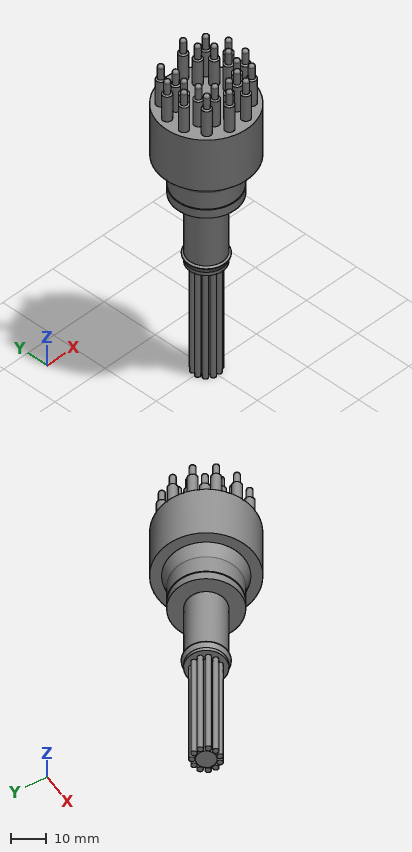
import cadquery as cq
import math

total_height = 112.4

tube_bottom = 39.6
collar_taper_start = 40.8
collar_lip_bottom = 42.5
collar_lip_top = 42.7
collar_top = 43.2
sleeve_bottom = 65.0
sleeve_groove = 68.1
sleeve_top = 74.4
head_bottom = 79.1
head_top = 98.0
pin_shoulder = 107.1
pin_tip_base = 107.5

head_diameter = 31.7
flare_diameter = 25.0
sleeve_diameter = 22.1
tube_diameter = 12.7
collar_diameter = 14.0

groove_width = 0.2
groove_depth = 0.1

pin_diameter = 3.1
pin_tip_diameter = 2.0
pin_tip_rounding = 0.9
inner_ring_radius = 8.9
outer_ring_radius = 12.7
pin_pitch = 30.0
inner_pin_count = 10
outer_pin_count = 11
inner_first_angle = 60.0
outer_first_angle = 75.0

wire_count = 11
wire_diameter = 1.8
wire_bundle_diameter = 9.9
wire_first_angle = 90.0
wire_embed = 1.1
core_diameter = 6.1


def ring_points(radius, count, first_angle, step):
    """Points on a circle, starting at first_angle and going clockwise."""
    points = []
    for index in range(count):
        angle = math.radians(first_angle - index * step)
        points.append((radius * math.cos(angle), radius * math.sin(angle)))
    return points


def make_body():
    """Tube, collar, sleeve, flare and head, turned about the Z axis."""
    tube_radius = tube_diameter / 2
    sleeve_radius = sleeve_diameter / 2
    flare_radius = flare_diameter / 2
    collar_radius = collar_diameter / 2
    head_radius = head_diameter / 2
    groove_radius = sleeve_radius - groove_depth
    profile = (
        cq.Workplane("XZ")
        .moveTo(0, tube_bottom)
        .lineTo(tube_radius, tube_bottom)
        .lineTo(tube_radius, collar_taper_start)
        .lineTo(collar_radius, collar_lip_bottom)
        .lineTo(collar_radius, collar_lip_top)
        .lineTo(tube_radius, collar_top)
        .lineTo(tube_radius, sleeve_bottom)
        .lineTo(sleeve_radius, sleeve_bottom)
        .lineTo(sleeve_radius, sleeve_groove - groove_width / 2)
        .lineTo(groove_radius, sleeve_groove - groove_width / 2)
        .lineTo(groove_radius, sleeve_groove + groove_width / 2)
        .lineTo(sleeve_radius, sleeve_groove + groove_width / 2)
        .lineTo(sleeve_radius, sleeve_top)
        .lineTo(flare_radius, head_bottom)
        .lineTo(head_radius, head_bottom)
        .lineTo(head_radius, head_top)
        .lineTo(0, head_top)
        .close()
    )
    return profile.revolve(360, (0, 0, 0), (0, 1, 0))


def make_pin():
    """One contact pin: thick shank, sloped shoulder and slim tip with a rounded end."""
    shank_radius = pin_diameter / 2
    tip_radius = pin_tip_diameter / 2
    profile = (
        cq.Workplane("XZ")
        .moveTo(0, head_top)
        .lineTo(shank_radius, head_top)
        .lineTo(shank_radius, pin_shoulder)
        .lineTo(tip_radius, pin_tip_base)
        .lineTo(tip_radius, total_height)
        .lineTo(0, total_height)
        .close()
    )
    pin = profile.revolve(360, (0, 0, 0), (0, 1, 0))
    return pin.faces(">Z").edges().fillet(pin_tip_rounding)


def make_pins():
    """All contact pins, standing on two rings with a gap in each ring."""
    points = ring_points(inner_ring_radius, inner_pin_count, inner_first_angle, pin_pitch)
    points += ring_points(outer_ring_radius, outer_pin_count, outer_first_angle, pin_pitch)
    pin = make_pin().val()
    placed = cq.Workplane("XY").pushPoints(points)
    return placed.eachpoint(lambda place: pin.moved(place), combine=False)


def make_wires():
    """Core and ring of wires, both reaching a little way into the lower end of the tube."""
    ring_radius = (wire_bundle_diameter - wire_diameter) / 2
    points = ring_points(ring_radius, wire_count, wire_first_angle, 360 / wire_count)
    core = cq.Workplane("XY").circle(core_diameter / 2).extrude(tube_bottom + wire_embed)
    wires = (
        cq.Workplane("XY")
        .pushPoints(points)
        .circle(wire_diameter / 2)
        .extrude(tube_bottom + wire_embed)
    )
    return core.union(wires)


result = make_body().union(make_pins()).union(make_wires())